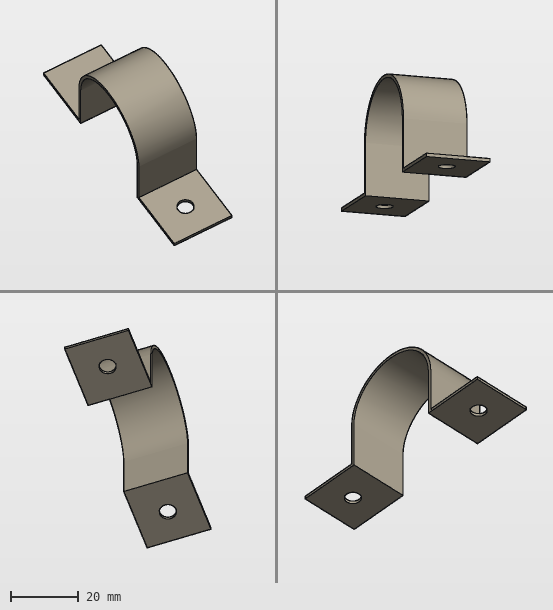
import cadquery as cq

length = 74.0
width = 20.0
height = 33.0
thickness = 1.0
outer_radius = 17.0
hole_diameter = 5.0

inner_radius = outer_radius - thickness
arch_center_z = height - outer_radius
half_length = length / 2
hole_x = (outer_radius + half_length) / 2

strap = (
    cq.Workplane("XZ")
    .moveTo(-half_length, 0)
    .lineTo(-inner_radius, 0)
    .lineTo(-inner_radius, arch_center_z)
    .threePointArc((0, height - thickness), (inner_radius, arch_center_z))
    .lineTo(inner_radius, 0)
    .lineTo(half_length, 0)
    .lineTo(half_length, thickness)
    .lineTo(outer_radius, thickness)
    .lineTo(outer_radius, arch_center_z)
    .threePointArc((0, height), (-outer_radius, arch_center_z))
    .lineTo(-outer_radius, thickness)
    .lineTo(-half_length, thickness)
    .close()
    .extrude(width / 2, both=True)
)

screw_holes = (
    cq.Workplane("XY")
    .pushPoints([(-hole_x, 0), (hole_x, 0)])
    .circle(hole_diameter / 2)
    .extrude(thickness)
)

result = strap.cut(screw_holes)